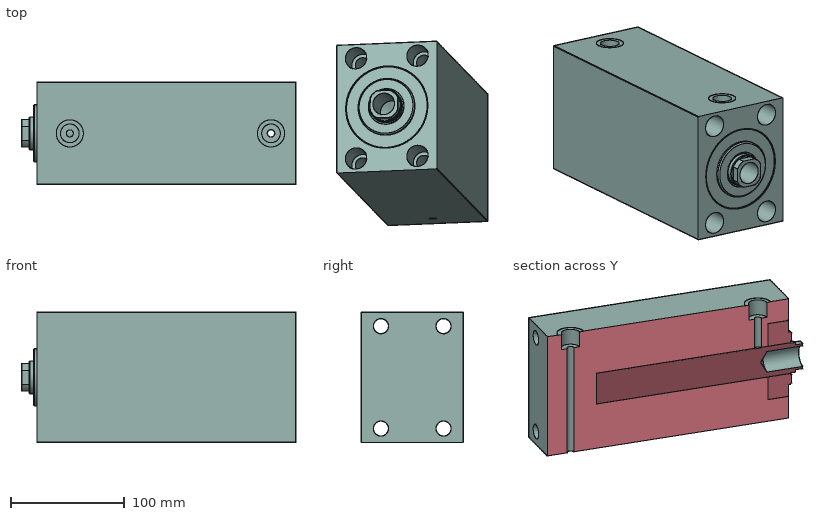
import cadquery as cq
import math

OVERALL_LENGTH = 241.5

ROD_PROTRUSION = 13.5
HOUSING_LENGTH = OVERALL_LENGTH - ROD_PROTRUSION
HOUSING_WIDTH = 90.0
HOUSING_HEIGHT = 115.0
LONG_EDGE_CHAMFER = 0.5

BOLT_SPACING_Y = 55.0
BOLT_SPACING_Z = 90.0
BOLT_DIAMETER = 13.0
BOLT_HEAD_DIAMETER = 19.0
BOLT_HEAD_DEPTH = 29.0

FRONT_PORT_X = 29.0
REAR_PORT_X = HOUSING_LENGTH - 22.0
PORT_FACE_DIAMETER = 24.0
PORT_FACE_DEPTH = 0.2
PORT_DIAMETER = 16.5
PORT_DEPTH = 14.5
PORT_DRILL_DIAMETER = 6.3

GLAND_DIAMETER = 72.5
GLAND_DEPTH = 19.3
GLAND_SEAT_CHAMFER = 0.7
COLLAR_DIAMETER = 50.7
COLLAR_LENGTH = 3.1
COLLAR_CHAMFER = 1.2
ROD_RECESS_DIAMETER = 31.9
ROD_RECESS_DEPTH = 1.2

ROD_DIAMETER = 29.0
ROD_CHAMFER = 0.7
ROD_END_X = 181.1
TIP_DIAMETER = 27.3
TIP_ACROSS_FLATS = 24.5
TIP_LENGTH = 6.8
ROD_HOLE_DIAMETER = 19.3
ROD_HOLE_DEPTH = 33.8
ROD_HOLE_TIP_ANGLE = 118.0


def x_cylinder(diameter, start_x, end_x):
    """Cylinder on the rod axis between two X positions."""
    return cq.Workplane("YZ", origin=(start_x, 0, 0)).circle(diameter / 2).extrude(end_x - start_x)


def cut_port(housing, port_x, drill_depth):
    """Spot face, port bore and drilled passage going down from the top face."""
    steps = (
        (PORT_FACE_DIAMETER, PORT_FACE_DEPTH),
        (PORT_DIAMETER, PORT_DEPTH),
        (PORT_DRILL_DIAMETER, drill_depth),
    )
    top = cq.Workplane("XY", origin=(port_x, 0, HOUSING_HEIGHT / 2))
    for diameter, depth in steps:
        housing = housing.cut(top.circle(diameter / 2).extrude(-depth))
    return housing


def make_housing():
    block = cq.Workplane("XY").box(
        HOUSING_LENGTH, HOUSING_WIDTH, HOUSING_HEIGHT, centered=(False, True, True)
    )
    block = block.edges("|X").chamfer(LONG_EDGE_CHAMFER)
    block = (
        block.faces("<X")
        .workplane(origin=(0, 0, 0))
        .rarray(BOLT_SPACING_Y, BOLT_SPACING_Z, 2, 2)
        .cboreHole(BOLT_DIAMETER, BOLT_HEAD_DIAMETER, BOLT_HEAD_DEPTH)
    )

    block = cut_port(block, FRONT_PORT_X, HOUSING_HEIGHT / 2)
    block = cut_port(block, REAR_PORT_X, HOUSING_HEIGHT)

    block = block.cut(x_cylinder(GLAND_DIAMETER, 0, GLAND_DEPTH))
    seat_mouth = block.faces("<X").edges(cq.selectors.RadiusNthSelector(-1))
    block = seat_mouth.chamfer(GLAND_SEAT_CHAMFER)
    return block.cut(x_cylinder(ROD_DIAMETER, 0, ROD_END_X))


def make_gland():
    gland = x_cylinder(GLAND_DIAMETER, 0, GLAND_DEPTH)
    collar = x_cylinder(COLLAR_DIAMETER, -COLLAR_LENGTH, 0).faces("<X").chamfer(COLLAR_CHAMFER)
    rod_recess = x_cylinder(ROD_RECESS_DIAMETER, -COLLAR_LENGTH, ROD_RECESS_DEPTH - COLLAR_LENGTH)
    rod_bore = x_cylinder(ROD_DIAMETER, -COLLAR_LENGTH, GLAND_DEPTH)
    return gland.union(collar).cut(rod_recess).cut(rod_bore)


def make_rod():
    tip_start_x = -ROD_PROTRUSION
    shoulder_x = tip_start_x + TIP_LENGTH
    shank = x_cylinder(ROD_DIAMETER, shoulder_x, ROD_END_X).faces("<X").chamfer(ROD_CHAMFER)

    flats = cq.Workplane("YZ", origin=(tip_start_x, 0, 0)).rect(TIP_ACROSS_FLATS, TIP_ACROSS_FLATS)
    tip = x_cylinder(TIP_DIAMETER, tip_start_x, shoulder_x).intersect(flats.extrude(TIP_LENGTH))

    hole = x_cylinder(ROD_HOLE_DIAMETER, tip_start_x, tip_start_x + ROD_HOLE_DEPTH)
    radius = ROD_HOLE_DIAMETER / 2
    cone_length = radius / math.tan(math.radians(ROD_HOLE_TIP_ANGLE / 2))
    cone = cq.Solid.makeCone(
        radius,
        0,
        cone_length,
        pnt=cq.Vector(tip_start_x + ROD_HOLE_DEPTH, 0, 0),
        dir=cq.Vector(1, 0, 0),
    )
    return shank.union(tip).cut(hole).cut(cq.Workplane(cone))


housing = make_housing()
gland = make_gland()
rod = make_rod()

result = cq.Compound.makeCompound([housing.val(), gland.val(), rod.val()])